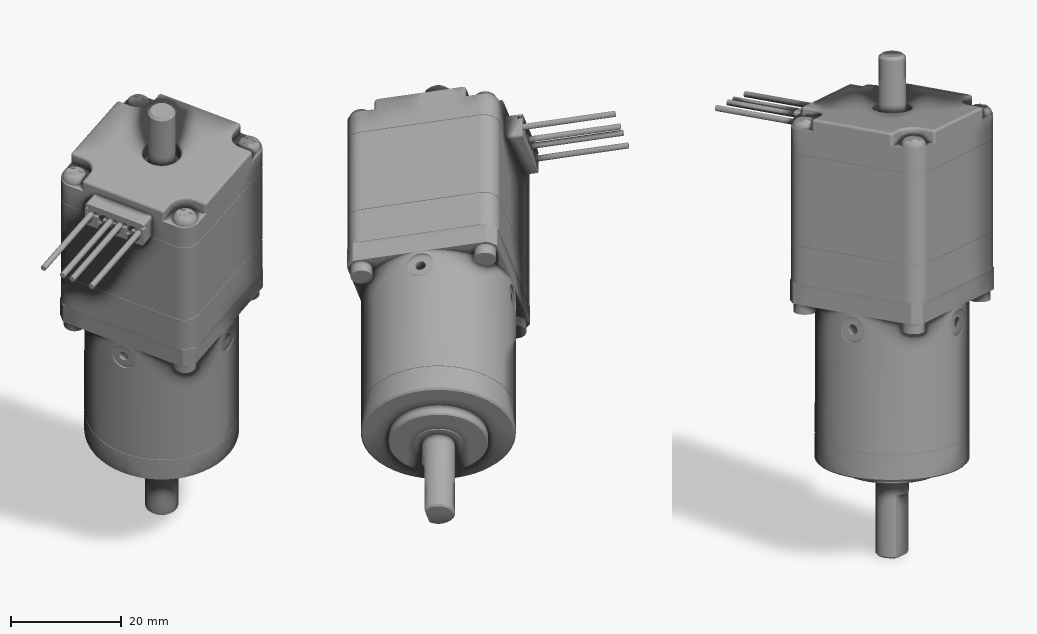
import cadquery as cq

FRAME_WIDTH = 28.2
HALF_FRAME = FRAME_WIDTH / 2
SCREW_OFFSET = 11.5
SEAM_HEIGHT = 0.2
SEAM_DEPTH = 0.1

GEARBOX_DIAMETER = 28.0
GEARBOX_LENGTH = 31.0
GEARBOX_CHAMFER = 0.3
GEARBOX_SEAM_Z = 5.0
BOSS_DIAMETER = 18.0
BOSS_HEIGHT = 2.0
BOSS_CHAMFER = 0.2
COLLAR_DIAMETER = 9.0
COLLAR_HEIGHT = 0.2
SPOTFACE_DIAMETER = 5.0
SPOTFACE_DEPTH = 0.3
SPOTFACE_Z = GEARBOX_LENGTH - 3.0
SIDE_HOLE_DIAMETER = 1.9
SIDE_HOLE_DEPTH = 2.0

OUTPUT_DIAMETER = 6.0
OUTPUT_LENGTH = 18.0
FLAT_LENGTH = 12.0
FLAT_Y = 2.1
OUTPUT_CHAMFER = 0.3

FLANGE_WIDTH = 28.0
FLANGE_THICKNESS = 4.0
FLANGE_CORNER = 1.5
FLANGE_CORNER_RADIUS = 0.5
FLANGE_TOP = GEARBOX_LENGTH + FLANGE_THICKNESS
FLANGE_SCREW_DIAMETER = 4.0
FLANGE_SCREW_HEIGHT = 2.0

MOTOR_LENGTH = 31.5
MOTOR_TOP = FLANGE_TOP + MOTOR_LENGTH
MOTOR_CORNER_RADIUS = 3.0
END_CAP_HEIGHT = 7.0
MOTOR_SEAMS = (FLANGE_TOP + END_CAP_HEIGHT, MOTOR_TOP - END_CAP_HEIGHT - SEAM_HEIGHT)
POCKET_RADIUS = 3.0
POCKET_DEPTH = 2.4
POCKET_FLOOR = MOTOR_TOP - POCKET_DEPTH
CAP_FILLET = 0.5
SHAFT_RECESS_DIAMETER = 7.0
SHAFT_RECESS_DEPTH = 3.0
SHAFT_RECESS_FILLET = 0.5
REAR_SHAFT_DIAMETER = 5.0
REAR_SHAFT_LENGTH = 10.0
REAR_SHAFT_CHAMFER = 0.5

CAP_SCREW_RADIUS = 2.25
CAP_SCREW_HEIGHT = 1.5
CAP_SCREW_CROWN = 1.5
CROSS_WIDTH = 1.1
CROSS_DEPTH = 0.3

CONNECTOR_WIDTH = 12.2
CONNECTOR_HEIGHT = 5.0
CONNECTOR_DEPTH = 3.0
CONNECTOR_BOTTOM = MOTOR_TOP - END_CAP_HEIGHT
CONNECTOR_FRONT = -HALF_FRAME - CONNECTOR_DEPTH
CONNECTOR_FILLET = 0.5
PIN_COUNT = 6
PIN_PITCH = 2.0
SOCKET_DEPTH = 1.0
SOCKET_WIDTH = 1.14
SOCKET_BOTTOM = CONNECTOR_BOTTOM + 1.5
WAVE_BASE = CONNECTOR_BOTTOM + 3.35
WAVE_RISE = 0.43
NOTCH_HEIGHT = 0.6
NOTCH_BOTTOM = CONNECTOR_BOTTOM + 3.8

WIRE_DIAMETER = 1.1
WIRE_REACH = 17.0
WIRE_PINS = (0, 2, 3, 5)
WIRE_Z = CONNECTOR_BOTTOM + 2.65

PIN_POSITIONS = [(i - (PIN_COUNT - 1) / 2) * PIN_PITCH for i in range(PIN_COUNT)]
SOCKET_HALF_SPAN = PIN_POSITIONS[-1] + SOCKET_WIDTH / 2
CORNER_SIGNS = [(x, y) for x in (-1, 1) for y in (-1, 1)]
CORNER_POSITIONS = [(x * SCREW_OFFSET, y * SCREW_OFFSET) for x, y in CORNER_SIGNS]


def cylinder(diameter, bottom, height):
    """Upright cylinder on the Z axis."""
    return cq.Workplane("XY").workplane(offset=bottom).circle(diameter / 2).extrude(height)


def square_block(width, bottom, height):
    """Square block centred on the Z axis."""
    return cq.Workplane("XY").workplane(offset=bottom).rect(width, width).extrude(height)


def make_gearbox():
    """Round gear housing with front boss, collar, seam groove and four spotfaced side holes."""
    housing = cylinder(GEARBOX_DIAMETER, 0, GEARBOX_LENGTH).faces("<Z").chamfer(GEARBOX_CHAMFER)
    seam = cylinder(GEARBOX_DIAMETER, GEARBOX_SEAM_Z, SEAM_HEIGHT)
    seam = seam.cut(cylinder(GEARBOX_DIAMETER - 2 * SEAM_DEPTH, GEARBOX_SEAM_Z, SEAM_HEIGHT))
    housing = housing.cut(seam)

    spotface_x = GEARBOX_DIAMETER / 2 - SPOTFACE_DEPTH
    side_plane = cq.Workplane("YZ", origin=(spotface_x, 0, SPOTFACE_Z))
    side_cut = side_plane.circle(SPOTFACE_DIAMETER / 2).extrude(SPOTFACE_DEPTH)
    side_cut = side_cut.union(side_plane.circle(SIDE_HOLE_DIAMETER / 2).extrude(-SIDE_HOLE_DEPTH))
    for quarter in range(4):
        housing = housing.cut(side_cut.rotate((0, 0, 0), (0, 0, 1), 90 * quarter))

    boss = cylinder(BOSS_DIAMETER, -BOSS_HEIGHT, BOSS_HEIGHT).faces("<Z").chamfer(BOSS_CHAMFER)
    collar = cylinder(COLLAR_DIAMETER, -BOSS_HEIGHT - COLLAR_HEIGHT, COLLAR_HEIGHT)
    return housing.union(boss).union(collar)


def make_output_shaft():
    """Front shaft with a chamfered tip and a flat towards +Y."""
    shaft = cylinder(OUTPUT_DIAMETER, -OUTPUT_LENGTH, OUTPUT_LENGTH).faces("<Z").chamfer(OUTPUT_CHAMFER)
    radius = OUTPUT_DIAMETER / 2
    flat = cq.Workplane("XY").box(
        OUTPUT_DIAMETER, radius - FLAT_Y, FLAT_LENGTH, centered=(True, False, False)
    )
    return shaft.cut(flat.translate((0, FLAT_Y, -OUTPUT_LENGTH)))


def make_flange():
    """Adapter plate with cut corners and the screw heads below it."""
    plate = square_block(FLANGE_WIDTH, GEARBOX_LENGTH, FLANGE_THICKNESS)
    plate = plate.edges("|Z").chamfer(FLANGE_CORNER).edges("|Z").fillet(FLANGE_CORNER_RADIUS)
    heads = (
        cq.Workplane("XY").workplane(offset=GEARBOX_LENGTH - FLANGE_SCREW_HEIGHT)
        .pushPoints(CORNER_POSITIONS).circle(FLANGE_SCREW_DIAMETER / 2).extrude(FLANGE_SCREW_HEIGHT)
    )
    return plate.union(heads)


def make_raised_cap():
    """Cross-shaped top of the rear cap, left between the rounded corner pockets."""
    cap = square_block(FRAME_WIDTH, POCKET_FLOOR, POCKET_DEPTH)
    inner = SCREW_OFFSET - POCKET_RADIUS
    for sign_x, sign_y in CORNER_SIGNS:
        pocket = (
            cq.Workplane("XY").workplane(offset=POCKET_FLOOR)
            .moveTo(sign_x * inner, sign_y * FRAME_WIDTH)
            .lineTo(sign_x * inner, sign_y * SCREW_OFFSET)
            .radiusArc((sign_x * SCREW_OFFSET, sign_y * inner), -sign_x * sign_y * POCKET_RADIUS)
            .lineTo(sign_x * FRAME_WIDTH, sign_y * inner)
            .lineTo(sign_x * FRAME_WIDTH, sign_y * FRAME_WIDTH)
            .close().extrude(POCKET_DEPTH)
        )
        cap = cap.cut(pocket)
    for side in ("<X", ">X", "<Y", ">Y"):
        cap = cap.faces(side).edges("|Z").fillet(CAP_FILLET)
    return cap.faces(">Z").edges().fillet(CAP_FILLET)


def make_cap_screw():
    """Domed screw head with a cross slot, standing on Z = 0."""
    flat_radius = CAP_SCREW_RADIUS - CAP_SCREW_CROWN
    head = (
        cq.Workplane("XZ").lineTo(CAP_SCREW_RADIUS, 0)
        .radiusArc((flat_radius, CAP_SCREW_HEIGHT), -CAP_SCREW_CROWN)
        .lineTo(0, CAP_SCREW_HEIGHT).close().revolve(360, (0, 0), (0, 1))
    )
    cross = cq.Workplane("XY").workplane(offset=CAP_SCREW_HEIGHT - CROSS_DEPTH)
    arm_length = 2 * CAP_SCREW_RADIUS
    head = head.cut(cross.rect(arm_length, CROSS_WIDTH).extrude(CROSS_DEPTH))
    return head.cut(cross.rect(CROSS_WIDTH, arm_length).extrude(CROSS_DEPTH))


def make_motor():
    """Square motor with two seam grooves, rear cap with a shaft recess, cap screws and rear shaft."""
    body = square_block(FRAME_WIDTH, FLANGE_TOP, POCKET_FLOOR - FLANGE_TOP)
    body = body.edges("|Z").fillet(MOTOR_CORNER_RADIUS)
    for seam_z in MOTOR_SEAMS:
        core = square_block(FRAME_WIDTH - 2 * SEAM_DEPTH, seam_z, SEAM_HEIGHT)
        core = core.edges("|Z").fillet(MOTOR_CORNER_RADIUS - SEAM_DEPTH)
        body = body.cut(square_block(FRAME_WIDTH, seam_z, SEAM_HEIGHT).cut(core))
    body = body.union(make_raised_cap())

    recess = cylinder(SHAFT_RECESS_DIAMETER, MOTOR_TOP - SHAFT_RECESS_DEPTH, SHAFT_RECESS_DEPTH)
    body = body.cut(recess)
    rim_reach = SHAFT_RECESS_DIAMETER
    rim_box = cq.selectors.BoxSelector((-rim_reach, -rim_reach, 0), (rim_reach, rim_reach, 2 * MOTOR_TOP))
    body = body.faces(">Z").edges(rim_box).fillet(SHAFT_RECESS_FILLET)

    screw = make_cap_screw()
    for x, y in CORNER_POSITIONS:
        body = body.union(screw.translate((x, y, POCKET_FLOOR)))

    shaft_bottom = MOTOR_TOP - SHAFT_RECESS_DEPTH
    shaft = cylinder(REAR_SHAFT_DIAMETER, shaft_bottom, SHAFT_RECESS_DEPTH + REAR_SHAFT_LENGTH)
    return body.union(shaft.faces(">Z").chamfer(REAR_SHAFT_CHAMFER))


def make_socket_recess():
    """Wavy-topped recess across the connector with one slot hanging down below it at each pin."""
    outline = (
        cq.Workplane("XZ", origin=(0, CONNECTOR_FRONT, 0))
        .moveTo(-SOCKET_HALF_SPAN, WIRE_Z)
        .lineTo(-SOCKET_HALF_SPAN, WAVE_BASE)
        .lineTo(PIN_POSITIONS[0], WAVE_BASE)
    )
    for pin_x in PIN_POSITIONS[1:]:
        crest = (pin_x - PIN_PITCH / 2, WAVE_BASE + WAVE_RISE)
        outline = outline.threePointArc(crest, (pin_x, WAVE_BASE))
    outline = outline.lineTo(SOCKET_HALF_SPAN, WAVE_BASE).lineTo(SOCKET_HALF_SPAN, WIRE_Z).close()
    recess = outline.extrude(-SOCKET_DEPTH)
    for pin_x in PIN_POSITIONS:
        slot = cq.Workplane("XY").box(
            SOCKET_WIDTH, SOCKET_DEPTH, WIRE_Z - SOCKET_BOTTOM, centered=(True, False, False)
        )
        recess = recess.union(slot.translate((pin_x, CONNECTOR_FRONT, SOCKET_BOTTOM)))
    return recess


def make_connector():
    """Wire connector with rounded long edges, socket recess and a notch at each end."""
    block = cq.Workplane("XY").box(
        CONNECTOR_WIDTH, CONNECTOR_DEPTH, CONNECTOR_HEIGHT, centered=(True, False, False)
    )
    block = block.edges("|Y").fillet(CONNECTOR_FILLET)
    block = block.translate((0, CONNECTOR_FRONT, CONNECTOR_BOTTOM)).cut(make_socket_recess())
    notch = cq.Workplane("XY").box(CONNECTOR_WIDTH / 2, SOCKET_DEPTH, NOTCH_HEIGHT, centered=False)
    notch = notch.translate((SOCKET_HALF_SPAN, CONNECTOR_FRONT, NOTCH_BOTTOM))
    return block.cut(notch).cut(notch.mirror("YZ"))


def make_wire(pin_x):
    """Straight wire running from the socket floor out towards -Y."""
    start = cq.Workplane("XZ", origin=(pin_x, CONNECTOR_FRONT + SOCKET_DEPTH, WIRE_Z))
    return start.circle(WIRE_DIAMETER / 2).extrude(SOCKET_DEPTH + WIRE_REACH)


gearmotor = (
    make_gearbox().union(make_output_shaft()).union(make_flange()).union(make_motor()).union(make_connector())
)
wires = [make_wire(PIN_POSITIONS[pin]) for pin in WIRE_PINS]

result = cq.Compound.makeCompound([gearmotor.val(), *[wire.val() for wire in wires]])